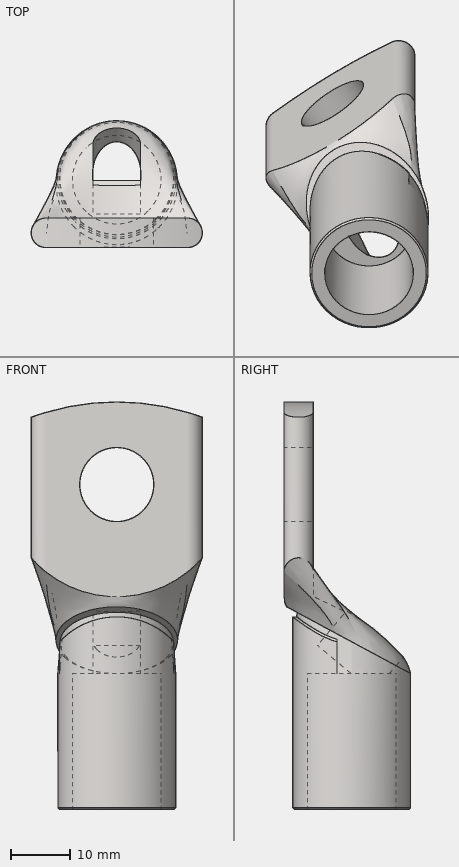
import cadquery as cq
import math

barrel_radius = 10.0
bore_radius = 7.5
bore_depth = 23.0
barrel_bottom_break = 0.3
barrel_shoulder_z = 23.0
barrel_front_top_z = 32.6
barrel_arch_radius = 13.2
flank_edge_y = -2.5
core_taper = 4.0

total_height = 69.0
palm_width = 29.0
palm_thickness = 5.0
palm_back_y = -6.5
palm_top_radius = 41.7
palm_foot_z = 36.0
palm_foot_radius = 19.2
palm_trim_margin = 1.0
stud_hole_diameter = 12.5
stud_hole_z = 55.0

palm_front_y = palm_back_y - palm_thickness
palm_mid_y = palm_back_y - palm_thickness / 2
palm_half_width = palm_width / 2
palm_flat_half_width = palm_half_width - palm_thickness / 2

lip_front_y = -11.0
lip_front_z = 34.3
lip_half_width = 10.3
lip_slope = (lip_front_z - barrel_shoulder_z) / (barrel_radius - lip_front_y)
lip_centre_y = (barrel_radius + lip_front_y) / 2
lip_half_length = (barrel_radius - lip_front_y) / 2
lip_corner_angle = 12.0

lip_edge_steps = 8

waist_back_crest = (0, 5.1, 29.6)
waist_back_end = (10.3, -1.2, 33.4)
waist_flank = (11.7, -4.0, 34.2)
waist_front_end = (11.4, -5.5, 34.3)
waist_front_crest = (0, -11.4, 35.2)

window_width = 8.1
window_tilt = 40.0
window_floor_y = -0.1
window_round_end_y = 6.4
window_length = 12.4


def mirrored(point):
    return (-point[0], point[1], point[2])


def arc_height(x, crest_z, radius):
    """Height at x of an arc that falls away on both sides of its crest at x = 0."""
    return crest_z - radius + math.sqrt(radius**2 - x**2)


def arc(*points):
    return cq.Edge.makeThreePointArc(*[cq.Vector(*point) for point in points])


def lip_plane_z(y):
    return barrel_shoulder_z + lip_slope * (barrel_radius - y)


def lip_edge(start_angle, end_angle):
    """Stretch of the lower neck rim between two plan angles in degrees."""
    points = []
    for step in range(lip_edge_steps + 1):
        angle = math.radians(start_angle + (end_angle - start_angle) * step / lip_edge_steps)
        y = lip_centre_y + lip_half_length * math.sin(angle)
        points.append(cq.Vector(lip_half_width * math.cos(angle), y, lip_plane_z(y)))
    return cq.Edge.makeSpline(points)


def make_lip_wire():
    corner = lip_corner_angle
    corners = [180 - corner, corner, -corner, corner - 180, -180 - corner]
    return cq.Wire.assembleEdges([lip_edge(*ends) for ends in zip(corners, corners[1:])])


def make_waist_wire():
    back = arc(mirrored(waist_back_end), waist_back_crest, waist_back_end)
    right = arc(waist_back_end, waist_flank, waist_front_end)
    front = arc(waist_front_end, waist_front_crest, mirrored(waist_front_end))
    left = arc(mirrored(waist_front_end), mirrored(waist_flank), mirrored(waist_back_end))
    return cq.Wire.assembleEdges([back, right, front, left])


def make_palm():
    """Round-edged plate trimmed by an arc at the top and another at the foot."""
    blank = (
        cq.Workplane("XY")
        .moveTo(-palm_flat_half_width, palm_back_y)
        .lineTo(palm_flat_half_width, palm_back_y)
        .threePointArc((palm_half_width, palm_mid_y), (palm_flat_half_width, palm_front_y))
        .lineTo(-palm_flat_half_width, palm_front_y)
        .threePointArc((-palm_half_width, palm_mid_y), (-palm_flat_half_width, palm_back_y))
        .close()
        .extrude(total_height)
    )
    trim_half_width = palm_half_width + palm_trim_margin
    top_side_z = arc_height(trim_half_width, total_height, palm_top_radius)
    foot_side_z = -arc_height(trim_half_width, -palm_foot_z, palm_foot_radius)
    outline = (
        cq.Workplane("XZ", origin=(0, palm_back_y, 0))
        .moveTo(-trim_half_width, top_side_z)
        .threePointArc((0, total_height), (trim_half_width, top_side_z))
        .lineTo(trim_half_width, foot_side_z)
        .threePointArc((0, palm_foot_z), (-trim_half_width, foot_side_z))
        .close()
        .extrude(palm_thickness)
    )
    return blank.intersect(outline)


def make_barrel():
    """Chamfered cylinder up to the shoulder, with an arched front and a tapered core above it."""
    lower = (
        cq.Workplane("XY")
        .circle(barrel_radius)
        .extrude(barrel_shoulder_z)
        .faces("<Z")
        .edges()
        .chamfer(barrel_bottom_break)
    )
    upper_height = lip_front_z - barrel_shoulder_z
    upper = cq.Workplane("XY", origin=(0, 0, barrel_shoulder_z))
    arch_end_z = arc_height(barrel_radius, barrel_front_top_z, barrel_arch_radius)
    arch = (
        cq.Workplane("XZ", origin=(0, flank_edge_y, 0))
        .moveTo(-barrel_radius, barrel_shoulder_z)
        .lineTo(-barrel_radius, arch_end_z)
        .threePointArc((0, barrel_front_top_z), (barrel_radius, arch_end_z))
        .lineTo(barrel_radius, barrel_shoulder_z)
        .close()
        .extrude(barrel_radius + flank_edge_y)
    )
    front = upper.circle(barrel_radius).extrude(upper_height).intersect(arch)
    core = upper.circle(barrel_radius).extrude(upper_height, taper=core_taper)
    below_lip = (
        cq.Workplane("YZ", origin=(-barrel_radius, 0, 0))
        .moveTo(barrel_radius, barrel_shoulder_z)
        .lineTo(-barrel_radius, lip_plane_z(-barrel_radius))
        .lineTo(-barrel_radius, barrel_shoulder_z)
        .close()
        .extrude(2 * barrel_radius)
    )
    return lower.union(core.union(front).intersect(below_lip))


def make_neck(palm):
    """Closed skin lofted from the lip through the waist to the arched foot of the palm."""
    foot = palm.faces("<Z").val()
    foot_edges = [palm.faces("<Z").edges(side).val() for side in (">Y", ">X", "<Y", "<X")]
    foot_wire = cq.Wire.assembleEdges(foot_edges)
    lip_wire = make_lip_wire()
    skin = cq.occ_impl.shapes.loft([lip_wire, make_waist_wire(), foot_wire], compat=False)
    shell = cq.Shell.makeShell([*skin.Faces(), cq.Face.makeFromWires(lip_wire), foot])
    return cq.Workplane(cq.Solid.makeSolid(shell).fix())


def make_window():
    """Cutter with a round lower end and a flat upper end, square to the slope of the neck."""
    tilt = math.radians(window_tilt)
    half_width = window_width / 2
    floor = cq.Plane(
        origin=(0, window_floor_y, bore_depth),
        xDir=(1, 0, 0),
        normal=(0, math.sin(tilt), math.cos(tilt)),
    )
    round_end = (window_round_end_y - window_floor_y) * math.cos(tilt)
    flat_end = round_end - window_length
    return (
        cq.Workplane(floor)
        .moveTo(-half_width, flat_end)
        .lineTo(half_width, flat_end)
        .lineTo(half_width, round_end - half_width)
        .threePointArc((0, round_end), (-half_width, round_end - half_width))
        .close()
        .extrude(barrel_radius)
    )


def make_bore():
    return cq.Workplane("XY").circle(bore_radius).extrude(bore_depth)


def make_stud_hole():
    return (
        cq.Workplane("XZ", origin=(0, palm_back_y, stud_hole_z))
        .circle(stud_hole_diameter / 2)
        .extrude(palm_thickness)
    )


palm = make_palm()
body = make_barrel().union(make_neck(palm)).union(palm)
result = body.cut(make_bore()).cut(make_window()).cut(make_stud_hole())